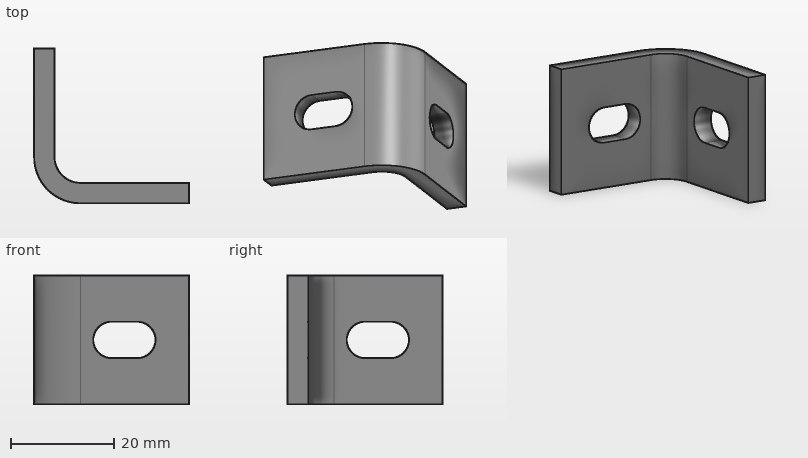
import cadquery as cq

leg_length = 30.0
height = 25.0
thickness = 4.0
outer_bend_radius = 9.0
slot_length = 12.0
slot_width = 7.0
slot_from_corner = 17.5

inner_bend_radius = outer_bend_radius - thickness


def make_bent_plate():
    """L-shaped plate with its outer corner at the origin and a rounded bend."""
    profile = (
        cq.Workplane("XY")
        .polyline([
            (0, 0),
            (leg_length, 0),
            (leg_length, thickness),
            (thickness, thickness),
            (thickness, leg_length),
            (0, leg_length),
        ])
        .close()
    )
    plate = profile.extrude(height)
    plate = plate.edges(cq.selectors.NearestToPointSelector((0, 0, height / 2))).fillet(outer_bend_radius)
    inner_corner = (thickness, thickness, height / 2)
    return plate.edges(cq.selectors.NearestToPointSelector(inner_corner)).fillet(inner_bend_radius)


def make_slot_cutter(plane_name):
    """Slot through one leg, lengthwise along the leg and centred in height."""
    if plane_name == "XZ":
        center = (slot_from_corner, 0, height / 2)
    else:
        center = (0, slot_from_corner, height / 2)
    return (
        cq.Workplane(plane_name, origin=center)
        .slot2D(slot_length, slot_width)
        .extrude(thickness, both=True)
    )


result = make_bent_plate()
for leg_plane in ("XZ", "YZ"):
    result = result.cut(make_slot_cutter(leg_plane))